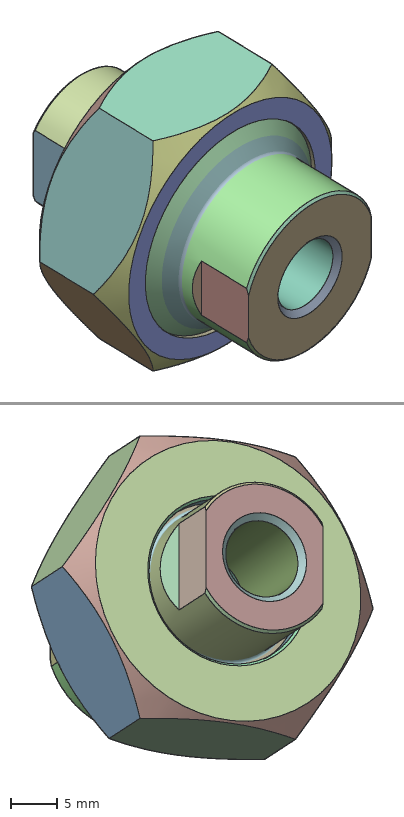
import cadquery as cq
import math

TOTAL_LENGTH = 35.0
BORE_DIAMETER = 8.57
BORE_CHAMFER = 0.7
END_CHAMFER = 0.3
FLAT_CUTTER_MARGIN = 0.37

NUT_START = 9.5
NUT_WIDTH = 13.5
NUT_END = NUT_START + NUT_WIDTH
NUT_ACROSS_CORNERS = 36.95
NUT_CORNER_CHAMFER = 2.7
NUT_HOLE_RADIUS = 18.5 / 2
NUT_HOLE_CHAMFER = 0.3
NUT_LIP_THICKNESS = 2.0
NUT_CAVITY_RADIUS = 26.4 / 2

TAIL_RADIUS = 17.0 / 2
TAIL_FILLET = 0.35
TAIL_FLANGE_THICKNESS = 3.7
TAIL_FLATS_WIDTH = 13.9
TAIL_FLATS_LENGTH = 7.02
FLANGE_START = NUT_START + NUT_LIP_THICKNESS
FLANGE_END = FLANGE_START + TAIL_FLANGE_THICKNESS

BODY_RADIUS = 20.5 / 2
BODY_FLATS_WIDTH = 19.05
BODY_FLATS_LENGTH = 7.05
CONE_BREAK_RADIUS = 11.65
OUTER_CONE_LENGTH = 1.0
INNER_CONE_LENGTH = 1.33
INNER_CONE_ANGLE = math.radians(43)
BODY_FILLET = 0.55


def flat_cutters(width, end_x, length, direction, radius):
    """Pair of cutters at +Y and -Y for flats that run out at 45 degrees."""
    inner = width / 2
    outer = radius + FLAT_CUTTER_MARGIN
    flat_end = end_x + direction * length
    runout_end = flat_end + direction * (outer - inner)
    cutter = (
        cq.Workplane("XY")
        .polyline([(end_x, inner), (flat_end, inner), (runout_end, outer), (end_x, outer)])
        .close()
        .extrude(radius, both=True)
    )
    return cutter, cutter.mirror("XZ")


def revolve_about_x(outline):
    return outline.close().revolve(360, (0, 0, 0), (1, 0, 0))


def make_tailpiece():
    bore = BORE_DIAMETER / 2
    fillet_mid = TAIL_FILLET * (1 - math.sqrt(0.5))
    tail = revolve_about_x(
        cq.Workplane("XY")
        .moveTo(BORE_CHAMFER, bore)
        .lineTo(0, bore + BORE_CHAMFER)
        .lineTo(0, TAIL_RADIUS - END_CHAMFER)
        .lineTo(END_CHAMFER, TAIL_RADIUS)
        .lineTo(FLANGE_START - TAIL_FILLET, TAIL_RADIUS)
        .threePointArc(
            (FLANGE_START - fillet_mid, TAIL_RADIUS + fillet_mid),
            (FLANGE_START, TAIL_RADIUS + TAIL_FILLET),
        )
        .lineTo(FLANGE_START, NUT_CAVITY_RADIUS)
        .lineTo(FLANGE_END, NUT_CAVITY_RADIUS)
        .lineTo(FLANGE_END, bore)
    )
    for cutter in flat_cutters(TAIL_FLATS_WIDTH, 0, TAIL_FLATS_LENGTH, 1, TAIL_RADIUS):
        tail = tail.cut(cutter)
    return tail


def make_nut():
    hexagon = (
        cq.Workplane("YZ")
        .workplane(offset=NUT_START)
        .polygon(6, NUT_ACROSS_CORNERS)
        .extrude(NUT_WIDTH)
    )
    corner_radius = NUT_ACROSS_CORNERS / 2
    chamfered_blank = (
        cq.Workplane("YZ")
        .workplane(offset=NUT_START)
        .circle(corner_radius)
        .extrude(NUT_WIDTH)
        .edges()
        .chamfer(NUT_CORNER_CHAMFER)
    )
    opening = revolve_about_x(
        cq.Workplane("XY")
        .moveTo(NUT_START, 0)
        .lineTo(NUT_START, NUT_HOLE_RADIUS + NUT_HOLE_CHAMFER)
        .lineTo(NUT_START + NUT_HOLE_CHAMFER, NUT_HOLE_RADIUS)
        .lineTo(FLANGE_START, NUT_HOLE_RADIUS)
        .lineTo(FLANGE_START, NUT_CAVITY_RADIUS)
        .lineTo(NUT_END, NUT_CAVITY_RADIUS)
        .lineTo(NUT_END, 0)
    )
    return hexagon.intersect(chamfered_blank).cut(opening)


def make_body():
    bore = BORE_DIAMETER / 2
    fillet_center_radius = BODY_RADIUS + BODY_FILLET
    fillet_start_radius = fillet_center_radius - BODY_FILLET * math.cos(INNER_CONE_ANGLE)
    cone_break = NUT_END + OUTER_CONE_LENGTH
    cone_start = cone_break - (NUT_CAVITY_RADIUS - CONE_BREAK_RADIUS)
    fillet_start = cone_break + INNER_CONE_LENGTH
    fillet_end = fillet_start + BODY_FILLET * math.sin(INNER_CONE_ANGLE)
    fillet_mid = (
        fillet_end - BODY_FILLET * math.sin(INNER_CONE_ANGLE / 2),
        fillet_center_radius - BODY_FILLET * math.cos(INNER_CONE_ANGLE / 2),
    )
    body = revolve_about_x(
        cq.Workplane("XY")
        .moveTo(FLANGE_END, bore)
        .lineTo(FLANGE_END, NUT_CAVITY_RADIUS)
        .lineTo(cone_start, NUT_CAVITY_RADIUS)
        .lineTo(cone_break, CONE_BREAK_RADIUS)
        .lineTo(fillet_start, fillet_start_radius)
        .threePointArc(fillet_mid, (fillet_end, BODY_RADIUS))
        .lineTo(TOTAL_LENGTH - END_CHAMFER, BODY_RADIUS)
        .lineTo(TOTAL_LENGTH, BODY_RADIUS - END_CHAMFER)
        .lineTo(TOTAL_LENGTH, bore + BORE_CHAMFER)
        .lineTo(TOTAL_LENGTH - BORE_CHAMFER, bore)
    )
    for cutter in flat_cutters(BODY_FLATS_WIDTH, TOTAL_LENGTH, BODY_FLATS_LENGTH, -1, BODY_RADIUS):
        body = body.cut(cutter)
    return body


tailpiece = make_tailpiece()
nut = make_nut()
body = make_body()

result = cq.Compound.makeCompound([tailpiece.val(), nut.val(), body.val()])